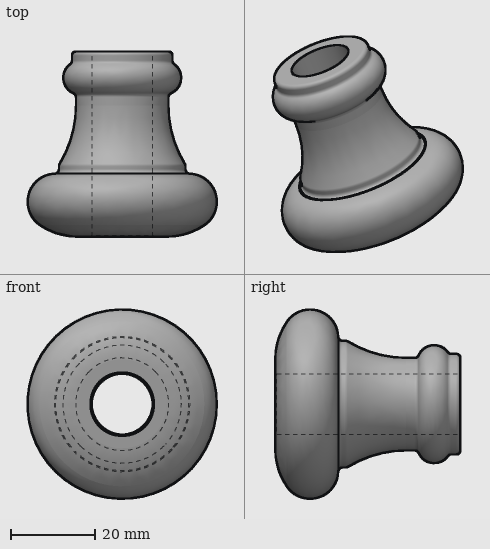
import cadquery as cq
import math

total_length = 44.0
outer_radius = 22.5
small_round = 1.0

bore_radius = 7.2
bore_chamfer = 0.35

rim_round = 6.7
head_height = 15.05
crown_round = 16.0

collar_radius = 15.08
collar_height = 16.7
shoulder_round = 1.25
neck_radius = 11.02
flare_top = 31.15

bead_radius = 14.05
bead_round = 4.0
bead_height = 37.75
lip_radius = 11.95


def point_towards(start, target, distance):
    """Point at a distance from start on the line through target."""
    ratio = distance / math.dist(start, target)
    return (
        start[0] + ratio * (target[0] - start[0]),
        start[1] + ratio * (target[1] - start[1]),
    )


def add_arc(profile, start, end, center):
    """Add the minor arc from start, the current end of the profile, to end."""
    chord_middle = ((start[0] + end[0]) / 2, (start[1] + end[1]) / 2)
    middle = point_towards(center, chord_middle, math.dist(center, start))
    return profile.threePointArc(middle, end)


rim_center = (outer_radius - rim_round, head_height - rim_round)
crown_rise = crown_round - rim_center[1]
crown_offset = math.sqrt((crown_round - rim_round) ** 2 - crown_rise**2)
crown_center = (rim_center[0] - crown_offset, crown_round)

collar_root_center = (collar_radius + small_round, head_height + small_round)
shoulder_center = (collar_radius - shoulder_round, collar_height)

flare_rise = flare_top - collar_height
flare_inset = shoulder_center[0] - neck_radius
flare_round = (flare_rise**2 + flare_inset**2 - shoulder_round**2) / (
    2 * (flare_inset + shoulder_round)
)
flare_center = (neck_radius + flare_round, flare_top)

bead_center = (bead_radius - bead_round, bead_height)


def bead_root_center(wall_radius, side):
    """Center of the fillet joining the bead to a cylinder; side is -1 below, +1 above."""
    radius = wall_radius + small_round
    rise = math.sqrt((bead_round + small_round) ** 2 - (radius - bead_center[0]) ** 2)
    return (radius, bead_height + side * rise)


neck_root_center = bead_root_center(neck_radius, -1)
lip_root_center = bead_root_center(lip_radius, 1)
lip_edge_center = (lip_radius - small_round, total_length - small_round)

crown_start = (crown_center[0], 0)
crown_end = point_towards(crown_center, rim_center, crown_round)
profile = cq.Workplane("XY").moveTo(bore_radius, bore_chamfer)
profile = profile.lineTo(bore_radius + bore_chamfer, 0)
profile = profile.lineTo(*crown_start)

profile = add_arc(profile, crown_start, crown_end, crown_center)
profile = profile.threePointArc((outer_radius, rim_center[1]), (rim_center[0], head_height))

collar_root_start = (collar_root_center[0], head_height)
collar_root_end = (collar_radius, collar_root_center[1])
shoulder_start = (collar_radius, collar_height)
shoulder_end = point_towards(shoulder_center, flare_center, shoulder_round)
profile = profile.lineTo(*collar_root_start)
profile = add_arc(profile, collar_root_start, collar_root_end, collar_root_center)
profile = profile.lineTo(*shoulder_start)
profile = add_arc(profile, shoulder_start, shoulder_end, shoulder_center)

flare_end = (neck_radius, flare_top)
neck_end = (neck_radius, neck_root_center[1])
profile = add_arc(profile, shoulder_end, flare_end, flare_center)
profile = profile.lineTo(*neck_end)

bead_start = point_towards(bead_center, neck_root_center, bead_round)
bead_end = point_towards(bead_center, lip_root_center, bead_round)
lip_start = (lip_radius, lip_root_center[1])
profile = add_arc(profile, neck_end, bead_start, neck_root_center)
profile = profile.threePointArc((bead_radius, bead_height), bead_end)
profile = add_arc(profile, bead_end, lip_start, lip_root_center)

lip_edge_start = (lip_radius, lip_edge_center[1])
lip_edge_end = (lip_edge_center[0], total_length)
profile = profile.lineTo(*lip_edge_start)
profile = add_arc(profile, lip_edge_start, lip_edge_end, lip_edge_center)
profile = profile.lineTo(bore_radius, total_length)

result = profile.close().revolve(360, (0, 0, 0), (0, 1, 0))